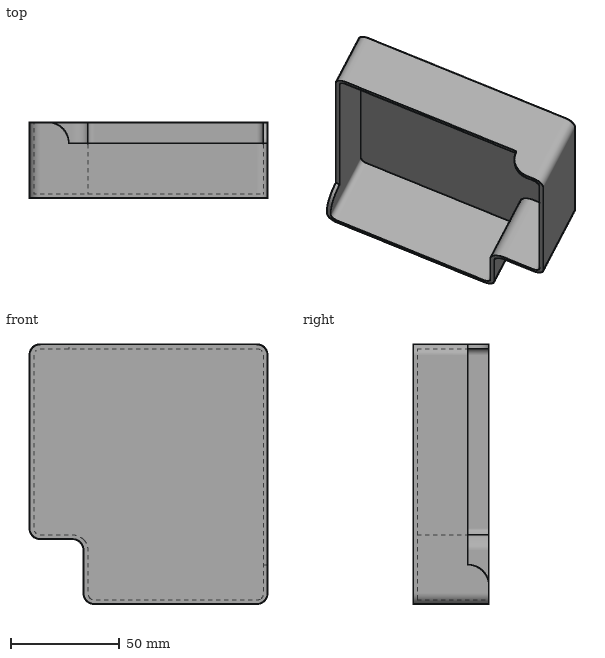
import cadquery as cq
import math

width = 110.0
depth = 35.0
height = 120.0

wall = 2.0
corner_radius = 5.0

step_width = 25.0
step_height = 30.0

recess_depth = 9.7
rim_remaining = 18.2
recess_floor = depth - recess_depth


def make_body():
    """Extrude the rounded outline along +Y."""
    outline = [
        (step_width, 0),
        (width, 0),
        (width, height),
        (0, height),
        (0, step_height),
        (step_width, step_height),
    ]
    block = cq.Workplane("XZ").polyline(outline).close().extrude(-depth)
    return block.edges("|Y").fillet(corner_radius)


def make_shell():
    """Hollow the body from the back, leaving a uniform wall and a front floor."""
    return make_body().faces(">Y").shell(-wall)


def recess_profile(plane, wall_length):
    """Recess outline along a wall, with a convex quarter round at the rim end."""
    arc_start = rim_remaining - recess_depth
    diagonal = recess_depth * math.sqrt(0.5)
    return (
        cq.Workplane(plane)
        .moveTo(arc_start, depth)
        .threePointArc(
            (arc_start + diagonal, recess_floor + diagonal),
            (rim_remaining, recess_floor),
        )
        .lineTo(wall_length, recess_floor)
        .lineTo(wall_length, depth)
        .close()
    )


def make_top_recess():
    cutter = recess_profile("XY", width).extrude(corner_radius)
    return cutter.translate((0, 0, height - corner_radius))


def make_right_recess():
    plane = cq.Plane(origin=(width, 0, 0), xDir=(0, 0, 1), normal=(-1, 0, 0))
    return recess_profile(plane, height).extrude(corner_radius)


result = make_shell().cut(make_top_recess()).cut(make_right_recess())